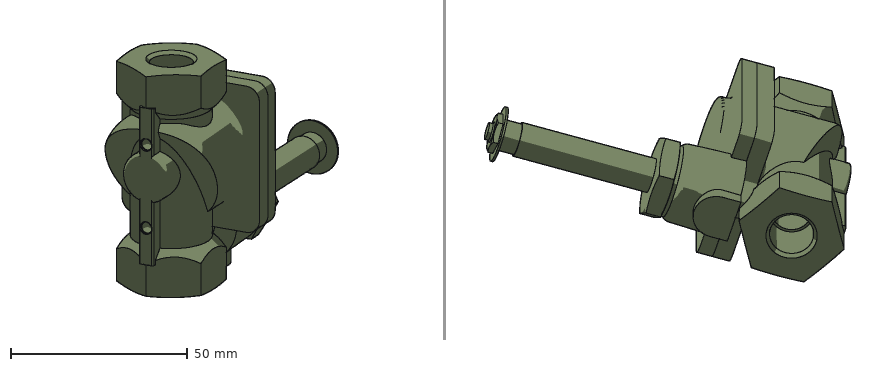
import cadquery as cq
import math


pipe_radius = 11.7
pipe_length = 67.1
pipe_center_z = -2.49
union_flats = 27.0
union_corners = union_flats / math.cos(math.pi / 6)
union_length = 14.1
union_bevel = 0.5
bore_diameter = 11.0
thread_diameter = 12.5
thread_depth = 13.8
mouth_diameter = 14.5

flange_side = 44.0
flange_corner_radius = 4.2
flange_bottom_y = 11.9
split_y = 17.1
flange_top_y = 21.5

body_radius = 17.5
body_end_y = -12.6
body_end_fillet = 5.0
body_root_fillet = 1.8
slope_ratio = 2.1
slope_foot_z = -13.0

front_y = -union_corners / 2
boss_radius = 7.5
boss_edge_fillet = 1.0
rib_width = 4.7
rib_length = 47.2
rib_edge = 0.5
pin_hole_diameter = 3.3
pin_hole_spacing = 25.0
pin_mouth_diameter = 3.7
pin_mouth_depth = 0.6
drill_point_angle = 140

disc_radius = 16.3
disc_top_y = 26.0
disc_edge_fillet = 1.0
disc_root_fillet = 2.0

solenoid_z = -22.9
seat_base_radius = 12.0
seat_shoulder_radius = 11.3
seat_shoulder_y = 33.3
seat_top_y = 35.9
neck_radius = 10.5
tab_radius = 6.6
tab_arc_y = 22.4
tab_bottom_z = -37.0
pilot_radius = 5.0
pilot_z = -23.4
pilot_flare = -pilot_z - flange_side / 2

large_nut_flats = 21.9
large_nut_bottom_y = 36.5
large_nut_top_y = 41.7
large_nut_bevel = 0.4
tube_radius = 5.0
tube_shoulder_y = 81.3
tube_neck_radius = 4.5
washer_radius = 8.0
washer_bottom_y = 86.5
washer_top_y = 87.1
small_nut_flats = 10.0
small_nut_top_y = 88.9
small_nut_bevel = 0.4
stud_radius = 2.49
stud_foot_radius = 3.02
stud_foot_height = 0.4
overall_length = 106.0
stud_top_y = front_y + overall_length


def turned(points, center_z=0.0):
    """Solid of revolution about a Y-parallel axis from (radius, y) points."""
    profile = cq.Workplane("XY").polyline(points).close()
    return profile.revolve(360, (0, 0), (0, 1)).translate((0, 0, center_z))


def cylinder_y(radius, start_y, end_y, center_z=0.0):
    """Cylinder parallel to Y between two heights."""
    disc = cq.Workplane("XZ", origin=(0, start_y, center_z)).circle(radius)
    return disc.extrude(start_y - end_y)


def flange_plate(start_y, end_y):
    """Square plate with rounded corners."""
    plate = cq.Workplane("XZ", origin=(0, start_y, 0)).rect(flange_side, flange_side)
    return plate.extrude(start_y - end_y).edges("|Y").fillet(flange_corner_radius)


def hex_nut(flats, start_y, end_y, bevel, first_corner_angle, bevel_bottom):
    """Hexagon on the solenoid axis with its corners turned down."""
    flat_radius = flats / 2
    corner_radius = flat_radius / math.cos(math.pi / 6)
    if bevel_bottom:
        lower = [(0, start_y), (flat_radius, start_y), (corner_radius, start_y + bevel)]
    else:
        lower = [(0, start_y), (corner_radius, start_y)]
    upper = [(corner_radius, end_y - bevel), (flat_radius, end_y), (0, end_y)]
    prism = (
        cq.Workplane("XZ", origin=(0, start_y, 0))
        .polygon(6, 2 * corner_radius)
        .extrude(start_y - end_y)
        .rotate((0, 0, 0), (0, 1, 0), first_corner_angle)
    )
    return prism.intersect(turned(lower + upper)).translate((0, 0, solenoid_z))


def pipe_union():
    """Upper hexagonal end, placed on a pipe centred on z = 0."""
    end_z = pipe_length / 2
    base_z = end_z - union_length
    corner_radius = union_corners / 2
    cone_height = corner_radius - pipe_radius
    prism = (
        cq.Workplane("XY", origin=(0, 0, base_z))
        .polygon(6, union_corners)
        .extrude(union_length)
        .rotate((0, 0, 0), (0, 0, 1), 90)
    )
    envelope = (
        cq.Workplane("XZ")
        .polyline(
            [
                (0, base_z),
                (pipe_radius, base_z),
                (corner_radius, base_z + cone_height),
                (corner_radius, end_z - union_bevel),
                (union_flats / 2, end_z),
                (0, end_z),
            ]
        )
        .close()
        .revolve(360, (0, 0), (0, 1))
    )
    return prism.intersect(envelope)


def pipe():
    """Pipe with both hexagonal ends, still without its bore."""
    upper = pipe_union()
    barrel = cq.Workplane("XY").circle(pipe_radius).extrude(pipe_length / 2 - union_length, both=True)
    return barrel.union(upper).union(upper.mirror("XY")).translate((0, 0, pipe_center_z))


def pipe_bore():
    """Through bore with a wider thread and a chamfered mouth at each end."""
    half = pipe_length / 2
    mouth_depth = (mouth_diameter - thread_diameter) / 2
    points = [
        (0, 0),
        (bore_diameter / 2, 0),
        (bore_diameter / 2, half - thread_depth),
        (thread_diameter / 2, half - thread_depth),
        (thread_diameter / 2, half - mouth_depth),
        (mouth_diameter / 2, half),
        (0, half),
    ]
    upper = cq.Workplane("XZ").polyline(points).close().revolve(360, (0, 0), (0, 1))
    return upper.union(upper.mirror("XY")).translate((0, 0, pipe_center_z))


def root_circle(radius, root_y):
    """Selector for the edge where a round boss meets the flange face."""
    margin = 0.1
    reach = radius + margin
    return cq.selectors.BoxSelector((-reach, root_y - margin, -reach), (reach, root_y + margin, reach))


def valve_body():
    """Lower flange and round body, with the sloping cut on its underside."""
    barrel = cylinder_y(body_radius, body_end_y, flange_bottom_y)
    barrel = barrel.faces("<Y").edges().fillet(body_end_fillet)
    body = flange_plate(flange_bottom_y, split_y).union(barrel)
    root = root_circle(body_radius, flange_bottom_y)
    body = body.edges(root).edges("%CIRCLE").fillet(body_root_fillet)
    reach = 2 * body_radius
    below_slope = (
        cq.Workplane("YZ")
        .polyline(
            [
                (0, slope_foot_z),
                (-reach, slope_foot_z + slope_ratio * reach),
                (-reach, -reach),
                ((slope_foot_z + reach) / slope_ratio, -reach),
            ]
        )
        .close()
        .extrude(reach, both=True)
    )
    return body.cut(below_slope)


def front_boss_and_rib():
    """Round boss crossed by a long bevelled rib with two drilled pin holes."""
    boss = cylinder_y(boss_radius, front_y, 0).faces("<Y").edges().fillet(boss_edge_fillet)
    rib = (
        cq.Workplane("XZ", origin=(0, 0, pipe_center_z))
        .rect(rib_width, rib_length)
        .extrude(-front_y)
        .faces("<Y")
        .edges("|Z")
        .chamfer(rib_edge)
    )
    return boss.union(rib)


def pin_hole(center_z):
    """Shallow blind hole with a slightly wider mouth and a drill-point floor."""
    hole_radius = pin_hole_diameter / 2
    mouth_radius = pin_mouth_diameter / 2
    floor_y = front_y + pin_mouth_depth
    tip_y = floor_y + hole_radius / math.tan(math.radians(drill_point_angle / 2))
    points = [
        (0, front_y),
        (mouth_radius, front_y),
        (mouth_radius, floor_y),
        (hole_radius, floor_y),
        (0, tip_y),
    ]
    return turned(points, center_z)


def pilot_pad():
    """Round-ended pad, flared into the flange edge, that reaches the pipe union."""
    flange_edge_z = -flange_side / 2
    outer_x = pilot_radius + pilot_flare
    flare_mid_x = outer_x - pilot_flare * math.sqrt(0.5)
    flare_mid_z = pilot_z + pilot_flare * math.sqrt(0.5)
    outline = (
        cq.Workplane("XZ", origin=(0, flange_bottom_y, 0))
        .moveTo(-outer_x, flange_edge_z)
        .threePointArc((-flare_mid_x, flare_mid_z), (-pilot_radius, pilot_z))
        .threePointArc((0, pilot_z - pilot_radius), (pilot_radius, pilot_z))
        .threePointArc((flare_mid_x, flare_mid_z), (outer_x, flange_edge_z))
        .close()
    )
    return outline.extrude(flange_bottom_y - split_y)


def make_housing():
    solid = valve_body().union(pipe()).union(pilot_pad()).union(front_boss_and_rib())
    solid = solid.cut(pipe_bore())
    for side in (-1, 1):
        solid = solid.cut(pin_hole(pipe_center_z + side * pin_hole_spacing / 2))
    return solid


def cover_plate():
    """Upper flange and its raised round disc."""
    disc = cylinder_y(disc_radius, flange_top_y, disc_top_y)
    disc = disc.faces(">Y").edges().fillet(disc_edge_fillet)
    plate = flange_plate(split_y, flange_top_y).union(disc)
    root = root_circle(disc_radius, flange_top_y)
    return plate.edges(root).edges("%CIRCLE").fillet(disc_root_fillet)


def solenoid_seat():
    """Tapered seat with a rounded shoulder and a neck below the large nut."""
    seat = turned(
        [
            (0, split_y),
            (seat_base_radius, split_y),
            (seat_shoulder_radius, seat_top_y),
            (0, seat_top_y),
        ],
        solenoid_z,
    )
    seat = seat.faces(">Y").edges().fillet(seat_top_y - seat_shoulder_y)
    return seat.union(cylinder_y(neck_radius, split_y, large_nut_bottom_y, solenoid_z))


def locating_tab():
    """Round-ended tab that hangs below the seat."""
    outline = (
        cq.Workplane("XY", origin=(0, 0, tab_bottom_z))
        .moveTo(-tab_radius, split_y)
        .lineTo(tab_radius, split_y)
        .lineTo(tab_radius, tab_arc_y)
        .threePointArc((0, tab_arc_y + tab_radius), (-tab_radius, tab_arc_y))
        .close()
    )
    return outline.extrude(solenoid_z - tab_bottom_z)


def solenoid_tube():
    """Stepped tube with its end washer and a stud that has a flared foot."""
    return turned(
        [
            (0, large_nut_bottom_y),
            (tube_radius, large_nut_bottom_y),
            (tube_radius, tube_shoulder_y),
            (tube_neck_radius, tube_shoulder_y),
            (tube_neck_radius, washer_bottom_y),
            (washer_radius, washer_bottom_y),
            (washer_radius, washer_top_y),
            (stud_foot_radius, washer_top_y),
            (stud_foot_radius, small_nut_top_y),
            (stud_radius, small_nut_top_y + stud_foot_height),
            (stud_radius, stud_top_y),
            (0, stud_top_y),
        ],
        solenoid_z,
    )


def make_cover():
    large_nut = hex_nut(large_nut_flats, large_nut_bottom_y, large_nut_top_y, large_nut_bevel, 0, True)
    small_nut = hex_nut(small_nut_flats, washer_top_y, small_nut_top_y, small_nut_bevel, 90, False)
    solid = cover_plate().union(solenoid_seat()).union(locating_tab())
    return solid.union(large_nut).union(solenoid_tube()).union(small_nut)


housing = make_housing()
cover = make_cover()
result = cq.Compound.makeCompound([housing.val(), cover.val()])